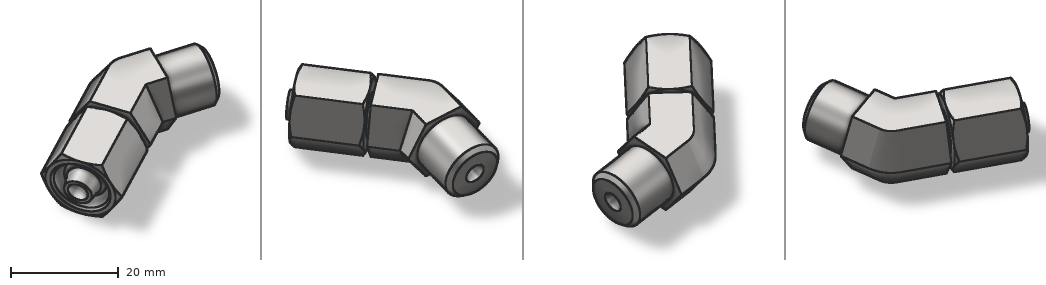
import cadquery as cq
import math

bend_angle = 45.0
overall_length = 40.55
across_flats = 14.0
bore_radius = 2.0

body_leg = 9.5
arm_leg = 6.05
spigot_radius = 6.0
spigot_end = 16.05
spigot_chamfer = 0.97

nut_gap = 0.9
nut_length = 14.0
nut_chamfer_angle = 30.0
thread_radius = 5.5
countersink_radius = 6.0
countersink_depth = 0.5
nut_floor = 7.3

neck_radius = 4.2
neck_rounding = 0.8
cone_tip_radius = 2.75
cone_half_angle = 12.0

corner_radius = across_flats / 2 / math.cos(math.pi / 6)
nut_back = -body_leg - nut_gap
nut_front = nut_back - nut_length
bend = math.radians(bend_angle)
spigot_reach = (spigot_end - spigot_chamfer) * math.cos(bend) + spigot_radius * math.sin(bend)
tip = spigot_reach - overall_length
cone_base_radius = neck_radius - neck_rounding
neck_front = tip + (cone_base_radius - cone_tip_radius) / math.tan(math.radians(cone_half_angle))
nut_chamfer_length = (corner_radius - across_flats / 2) * math.tan(math.radians(nut_chamfer_angle))


def turned(profile):
    """Solid of revolution about the Y axis from an open (radius, y) outline."""
    return profile.close().revolve(360, (0, 0, 0), (0, 1, 0))


def cylinder(radius, start, end):
    """Cylinder on the Y axis between two Y positions."""
    return cq.Workplane("XZ", origin=(0, start, 0)).circle(radius).extrude(start - end)


def hexagon(start, end):
    """Hexagonal bar on the Y axis with flats facing +Z and -Z."""
    return cq.Workplane("XZ", origin=(0, start, 0)).polygon(6, 2 * corner_radius).extrude(start - end)


def onto_arm(solid):
    """Turn a solid from the Y axis onto the threaded leg."""
    return solid.rotate((0, 0, 0), (0, 0, 1), -bend_angle)


def elbow_corner():
    """Outer half of the hexagon swept round the bend about the Z axis."""
    half = across_flats / 2
    return (
        cq.Workplane("XZ")
        .moveTo(0, half)
        .lineTo(-corner_radius / 2, half)
        .lineTo(-corner_radius, 0)
        .lineTo(-corner_radius / 2, -half)
        .lineTo(0, -half)
        .close()
        .revolve(bend_angle, (0, 0, 0), (0, -1, 0))
    )


def body():
    spigot = cylinder(spigot_radius, 0, spigot_end).faces(">Y").chamfer(spigot_chamfer)
    arm = hexagon(0, arm_leg).union(spigot)
    return hexagon(-body_leg, 0).union(elbow_corner()).union(onto_arm(arm))


def nut():
    chamfer_cone = turned(
        cq.Workplane("XY")
        .moveTo(0, nut_front)
        .lineTo(across_flats / 2, nut_front)
        .lineTo(corner_radius, nut_front + nut_chamfer_length)
        .lineTo(corner_radius, nut_back - nut_chamfer_length)
        .lineTo(across_flats / 2, nut_back)
        .lineTo(0, nut_back)
    )
    cavity = turned(
        cq.Workplane("XY")
        .moveTo(0, nut_front)
        .lineTo(countersink_radius, nut_front)
        .lineTo(thread_radius, nut_front + countersink_depth)
        .lineTo(thread_radius, nut_front + nut_floor)
        .lineTo(0, nut_front + nut_floor)
    )
    return hexagon(nut_front, nut_back).intersect(chamfer_cone).cut(cavity)


def sealing_cone():
    return turned(
        cq.Workplane("XY")
        .moveTo(0, tip)
        .lineTo(cone_tip_radius, tip)
        .lineTo(cone_base_radius, neck_front)
        .radiusArc((neck_radius, neck_front + neck_rounding), -neck_rounding)
        .lineTo(neck_radius, -body_leg)
        .lineTo(0, -body_leg)
    )


def bore():
    """Through passage with a spherical turn at the bend."""
    straight = cylinder(bore_radius, tip, 0)
    angled = onto_arm(cylinder(bore_radius, 0, spigot_end))
    return straight.union(angled).union(cq.Workplane("XY").sphere(bore_radius))


result = body().union(nut()).union(sealing_cone()).cut(bore())